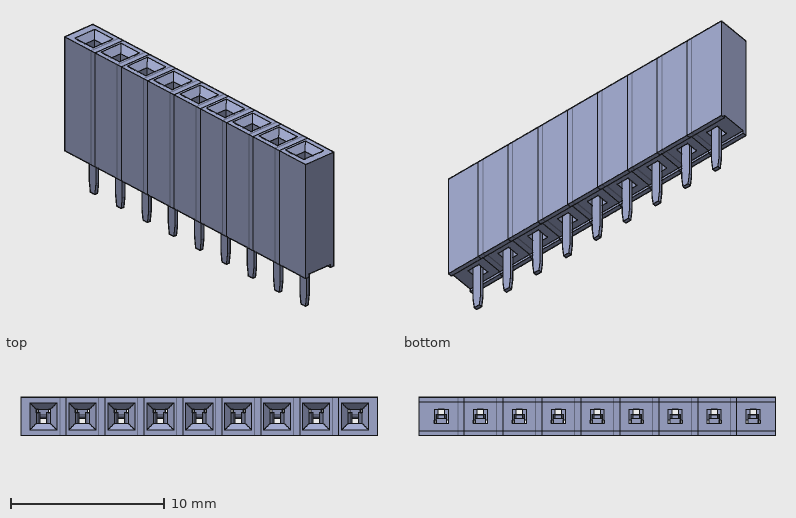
import cadquery as cq

positions = 9
pitch = 2.54
seam_width = 0.4
strip_depth = 2.5
housing_height = 8.5
strip_length = positions * pitch + seam_width

foot_width = 0.3
channel_depth = 0.22
channel_width = strip_depth - 2 * foot_width

mouth_size = 1.76
bore_size = 0.91
lead_in_depth = 0.45
bore_half = bore_size / 2
bore_top = housing_height - lead_in_depth

leaf_recess = 1.0
leaf_upper_drop = 0.22
leaf_lower_drop = 0.3
leaf_top = bore_top - leaf_recess
leaf_bend = leaf_top - leaf_upper_drop
leaf_bottom = leaf_bend - leaf_lower_drop
leaf_bend_x = 0.31
leaf_gap_half = 0.205
leaf_back_y = 0.24
shelf_width = 0.68
shelf_clearance = 0.3
shelf_top = leaf_bottom - shelf_clearance
shelf_drop = 0.055
shelf_thickness = 0.3

pin_width = 0.65
pin_thickness = 0.25
pin_length = 3.0
tip_width = 0.44
tip_length = 0.83
pin_half = pin_thickness / 2
head_drop = 0.21
head_bulge = 0.024
head_top = shelf_top - shelf_drop
head_front = head_top - head_drop
shelf_bottom = head_front - shelf_thickness


def make_block(x_min, x_max):
    """Housing block over the full depth, with the standoff channel cut along X."""
    length = x_max - x_min
    middle = (x_min + x_max) / 2
    block = cq.Workplane("XY").box(length, strip_depth, housing_height, centered=(True, True, False))
    channel = cq.Workplane("XY").box(length, channel_width, channel_depth, centered=(True, True, False))
    return block.cut(channel).translate((middle, 0, 0))


def make_socket_void():
    """Tapered lead-in above a square bore that runs through the housing."""
    bore = cq.Workplane("XY").rect(bore_size, bore_size).extrude(housing_height)
    lead_in = (
        cq.Workplane("XY")
        .workplane(offset=bore_top)
        .rect(bore_size, bore_size)
        .workplane(offset=lead_in_depth)
        .rect(mouth_size, mouth_size)
        .loft(ruled=True)
    )
    return bore.union(lead_in)


def make_leaf():
    """Contact leaf on the -X bore wall, its face sloping down towards the socket axis."""
    return (
        cq.Workplane("XZ", origin=(0, leaf_back_y, 0))
        .moveTo(-bore_half, leaf_top)
        .lineTo(-leaf_bend_x, leaf_bend)
        .lineTo(-leaf_gap_half, leaf_bottom)
        .lineTo(-bore_half, leaf_bottom)
        .close()
        .extrude(leaf_back_y + bore_half)
    )


def make_shelf():
    """Rear bracket, rounded over at the front, that carries the pin from the rear bore wall."""
    return (
        cq.Workplane("YZ", origin=(-shelf_width / 2, 0, 0))
        .moveTo(bore_half, shelf_top)
        .lineTo(pin_half, head_top)
        .sagittaArc((-pin_half, head_front), -head_bulge)
        .lineTo(-pin_half, shelf_bottom)
        .lineTo(bore_half, shelf_bottom)
        .close()
        .extrude(shelf_width)
    )


def make_pin():
    """Flat solder pin with a tapered tip, rising to the underside of the shelf."""
    return (
        cq.Workplane("XZ", origin=(0, pin_half, 0))
        .moveTo(-tip_width / 2, -pin_length)
        .lineTo(tip_width / 2, -pin_length)
        .lineTo(pin_width / 2, tip_length - pin_length)
        .lineTo(pin_width / 2, shelf_bottom)
        .lineTo(-pin_width / 2, shelf_bottom)
        .lineTo(-pin_width / 2, tip_length - pin_length)
        .close()
        .extrude(pin_thickness)
    )


def make_contact():
    leaf = make_leaf()
    return make_pin().union(make_shelf()).union(leaf).union(leaf.mirror("YZ"))


def make_module(index, socket_void, contact):
    """One position: a housing block with its contact, and the seam band on its +X side."""
    x_start = index * pitch
    socket_x = x_start + (pitch + seam_width) / 2
    main_start = x_start if index == 0 else x_start + seam_width
    main_end = x_start + pitch
    main = make_block(main_start, main_end)
    seam_band = make_block(main_end, main_end + seam_width)
    is_last = index == positions - 1
    housing = main.union(seam_band, clean=is_last)
    housing = housing.cut(socket_void.translate((socket_x, 0, 0)), clean=False)
    module = housing.union(contact.translate((socket_x, 0, 0)), clean=False)
    return module.translate((-strip_length / 2, 0, 0))


socket_void = make_socket_void()
contact = make_contact()
modules = [make_module(index, socket_void, contact) for index in range(positions)]

result = cq.Compound.makeCompound([module.solids().val() for module in modules])